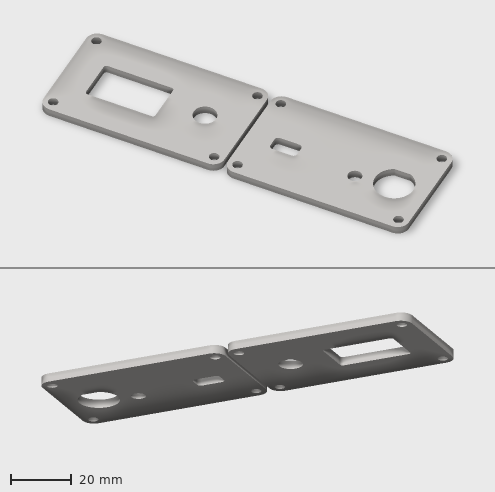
import cadquery as cq
import math

total_length = 134.3
panel_gap = 1.3
panel_length = (total_length - panel_gap) / 2
panel_width = 39.9
thickness = 3.0
cutter_height = 2 * thickness
corner_radius = 4.0
panel_offset = (panel_length + panel_gap) / 2

screw_diameter = 3.5
screw_pitch_x = 59.2
screw_pitch_y = 32.4

window_length = 25.5
window_width = 15.0
window_radius = 1.0
window_center = (-9.3, -0.4)
button_diameter = 8.2
button_center = (18.1, 0.3)

port_length = 9.8
port_width = 5.8
port_radius = 1.3
port_center = (-19.1, -1.5)
lamp_diameter = 5.0
lamp_center = (7.5, -3.9)
jack_diameter = 14.0
jack_flat_height = 6.3
jack_center = (20.8, -1.5)


def cutter_plane():
    """Plane below the panels from which the through cutters rise."""
    return cq.Workplane("XY", origin=(0, 0, -cutter_height / 2))


def make_blank():
    """Rounded plate, centred on the origin, with its four screw holes."""
    plate = cq.Workplane("XY").box(panel_length, panel_width, thickness)
    plate = plate.edges("|Z").fillet(corner_radius)
    screw_holes = (
        cutter_plane()
        .rect(screw_pitch_x, screw_pitch_y, forConstruction=True)
        .vertices()
        .circle(screw_diameter / 2)
        .extrude(cutter_height)
    )
    return plate.cut(screw_holes)


def round_cutter(diameter, center):
    return cutter_plane().center(*center).circle(diameter / 2).extrude(cutter_height)


def rounded_slot_cutter(length, width, radius, center):
    block = cq.Workplane("XY").center(*center).box(length, width, cutter_height)
    return block.edges("|Z").fillet(radius)


def jack_cutter():
    """Round opening with a flat along its +Y side."""
    radius = jack_diameter / 2
    half_flat = math.sqrt(radius**2 - jack_flat_height**2)
    return (
        cutter_plane()
        .center(*jack_center)
        .moveTo(-half_flat, jack_flat_height)
        .threePointArc((0, -radius), (half_flat, jack_flat_height))
        .close()
        .extrude(cutter_height)
    )


def make_window_panel():
    panel = make_blank()
    panel = panel.cut(rounded_slot_cutter(window_length, window_width, window_radius, window_center))
    panel = panel.cut(round_cutter(button_diameter, button_center))
    return panel.translate((-panel_offset, 0, 0))


def make_connector_panel():
    panel = make_blank()
    panel = panel.cut(rounded_slot_cutter(port_length, port_width, port_radius, port_center))
    panel = panel.cut(round_cutter(lamp_diameter, lamp_center))
    panel = panel.cut(jack_cutter())
    return panel.translate((panel_offset, 0, 0))


window_panel = make_window_panel()
connector_panel = make_connector_panel()

result = cq.Compound.makeCompound([window_panel.solids().val(), connector_panel.solids().val()])